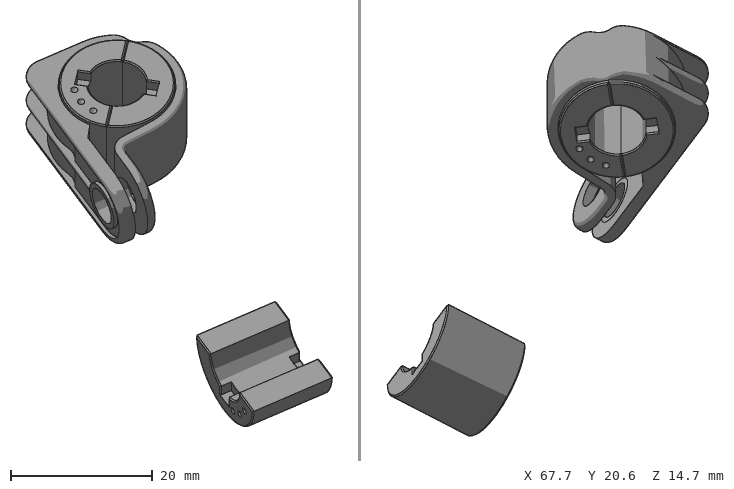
import cadquery as cq
import math


bushing_length = 13.0
bushing_radius = 8.15
cable_radius = 4.15
bushing_chamfer = 0.2
key_width = 2.35
key_reach = 5.85
key_depth = 1.8
key_flare = 0.2
dot_radius = 0.5
dot_circle_radius = 6.15
dot_step_angle = 22.5
dot_count = 3
bushing_turn = -40.0

clamp_width = 12.0
strap_thickness = 1.55
outer_radius = 9.85
bore_radius = outer_radius - strap_thickness
base_face_y = -10.4
block_corner_radius = 3.0
edge_round = 0.85
strap_lean = 5.0

hinge_angle = 135.0
hinge_thickness = 0.6
hinge_groove_radius = 2.4
hinge_blend_radius = 2.7

tab_radius = clamp_width / 2
tab_end_x = 20.0
tab_hole_x = tab_end_x - tab_radius
tab_hole_radius = 2.7
upper_tab_top_y = -4.8
upper_tab_bottom_y = upper_tab_top_y - strap_thickness
lower_tab_top_y = -8.35
bend_inner_radius = 1.0
bend_outer_radius = bend_inner_radius + strap_thickness
ramp_end_x = 6.4
ramp_start_x = 4.5

flange_thickness = 1.05
recess_floor_y = -9.82
recess_arc_end_x = 2.8
recess_hollow_radius = 3.0
rib_width = 1.22

ring_radius = 3.5

loose_x = 49.66
loose_y = -4.24

clearance = 5.0
corner_angle = 225.0
tolerance = 1e-4


def polar(radius, angle):
    """X and Y of a point at an angle in degrees."""
    return (radius * math.cos(math.radians(angle)), radius * math.sin(math.radians(angle)))


def upright_prism(sketch, height):
    """Extrude an XY outline symmetrically about Z = 0."""
    return sketch.extrude(height).translate((0, 0, -height / 2))


def cross_cylinder(radius, y_from, y_to):
    """Cylinder along Y on the tab hole axis."""
    return (
        cq.Workplane("XZ", origin=(tab_hole_x, y_from, 0))
        .circle(radius)
        .extrude(y_from - y_to)
    )


def tab_shape(radius):
    """Band along X with a round end about the tab hole."""
    span = tab_hole_x + outer_radius + clearance
    band = cq.Workplane("XY").box(span, 4 * outer_radius, 2 * radius)
    band = band.translate((tab_hole_x - span / 2, 0, 0))
    return band.union(cross_cylinder(radius, -2 * outer_radius, 2 * outer_radius))


def leg_bend(wall_radius, bend_radius):
    """Tangent points of the leaning strap leg and of its bend into the tab."""
    leg_top = polar(wall_radius, strap_lean)
    center_y = upper_tab_top_y + bend_inner_radius
    outer_offset = outer_radius + bend_inner_radius
    lean = math.radians(strap_lean)
    center_x = (outer_offset - center_y * math.sin(lean)) / math.cos(lean)
    back = polar(bend_radius, 180 + strap_lean)
    middle = polar(bend_radius, corner_angle + strap_lean / 2)
    bend_start = (center_x + back[0], center_y + back[1])
    bend_middle = (center_x + middle[0], center_y + middle[1])
    bend_end = (center_x, center_y - bend_radius)
    return leg_top, bend_start, bend_middle, bend_end


def clamp_outline(height):
    """Filled outer outline of the clamp, grooved at the hinge."""
    leg_top, bend_start, bend_middle, bend_end = leg_bend(outer_radius, bend_inner_radius)
    corner = (-outer_radius + block_corner_radius, base_face_y + block_corner_radius)
    corner_middle = polar(block_corner_radius, corner_angle)
    sketch = (
        cq.Workplane("XY")
        .moveTo(*leg_top)
        .lineTo(*bend_start)
        .threePointArc(bend_middle, bend_end)
        .lineTo(tab_end_x, upper_tab_top_y)
        .lineTo(tab_end_x, base_face_y)
        .lineTo(corner[0], base_face_y)
        .threePointArc(
            (corner[0] + corner_middle[0], corner[1] + corner_middle[1]),
            (-outer_radius, corner[1]),
        )
        .lineTo(-outer_radius, 0)
        .threePointArc(polar(outer_radius, 90 + strap_lean / 2), leg_top)
        .close()
    )
    body = upright_prism(sketch, height)

    groove_center = polar(bore_radius + hinge_thickness + hinge_groove_radius, hinge_angle)
    groove = upright_prism(
        cq.Workplane("XY").center(*groove_center).circle(hinge_groove_radius), height
    )
    body = body.cut(groove)
    lips = body.edges("|Z").filter(
        lambda edge: edge.Center().x < -tolerance and edge.Center().y > tolerance
    )
    return body.newObject(lips.vals()).fillet(hinge_blend_radius)


def clamp_cavity():
    """Bore for the bushing, opening into the slot between the tabs."""
    leg_top, bend_start, bend_middle, bend_end = leg_bend(bore_radius, bend_outer_radius)
    ramp_start = (ramp_start_x, -math.sqrt(bore_radius**2 - ramp_start_x**2))
    sketch = (
        cq.Workplane("XY")
        .moveTo(*leg_top)
        .lineTo(*bend_start)
        .threePointArc(bend_middle, bend_end)
        .lineTo(tab_end_x + clearance, upper_tab_bottom_y)
        .lineTo(tab_end_x + clearance, lower_tab_top_y)
        .lineTo(ramp_end_x, lower_tab_top_y)
        .lineTo(*ramp_start)
        .threePointArc((-bore_radius, 0), leg_top)
        .close()
    )
    return upright_prism(sketch, clamp_width + clearance)


def recess_region(height):
    """Space outside the round block wall and the recessed lower tab face."""
    wall_angle = -math.degrees(math.acos(recess_arc_end_x / outer_radius))
    wall_end = polar(outer_radius, wall_angle)
    wall_middle = polar(outer_radius, (wall_angle - 180) / 2)

    push = polar(recess_hollow_radius, wall_angle)
    hollow_center = (wall_end[0] + push[0], wall_end[1] + push[1])
    hollow_end_angle = math.degrees(math.asin((recess_floor_y - hollow_center[1]) / recess_hollow_radius))
    hollow_end = polar(recess_hollow_radius, hollow_end_angle)
    hollow_middle = polar(recess_hollow_radius, (180 + wall_angle + hollow_end_angle) / 2)

    sketch = (
        cq.Workplane("XY")
        .moveTo(-outer_radius, 0)
        .threePointArc(wall_middle, wall_end)
        .threePointArc(
            (hollow_center[0] + hollow_middle[0], hollow_center[1] + hollow_middle[1]),
            (hollow_center[0] + hollow_end[0], recess_floor_y),
        )
        .lineTo(tab_end_x, recess_floor_y)
        .lineTo(tab_end_x, base_face_y - clearance)
        .lineTo(-outer_radius - clearance, base_face_y - clearance)
        .lineTo(-outer_radius - clearance, 0)
        .close()
    )
    return upright_prism(sketch, height)


def is_rim(edge):
    """Edges round the two side faces and the tab ends, without seams."""
    middle = edge.Center()
    on_side = abs(abs(middle.z) - clamp_width / 2) < tolerance
    seam = edge.geomType() == "LINE" and abs(middle.x - tab_hole_x) < tolerance
    tab_end = edge.geomType() == "CIRCLE" and middle.x > tab_hole_x
    return (on_side and not seam) or tab_end


def rib_crest_path(rib_radius):
    """Centre line of the rounded rib crest, from the tab hole round the block corner."""
    corner_x = -outer_radius + block_corner_radius
    corner_y = base_face_y + block_corner_radius
    middle = polar(block_corner_radius - rib_radius, corner_angle)
    return (
        cq.Workplane("XY")
        .moveTo(tab_hole_x, base_face_y + rib_radius)
        .lineTo(corner_x, base_face_y + rib_radius)
        .threePointArc(
            (corner_x + middle[0], corner_y + middle[1]),
            (-outer_radius + rib_radius, corner_y),
        )
        .lineTo(-outer_radius + rib_radius, 0)
    )


def make_rib():
    """Rib with a fully rounded crest, filling the recess at mid width."""
    rib_radius = rib_width / 2
    bead = (
        cq.Workplane("YZ", origin=(tab_hole_x, base_face_y + rib_radius, 0))
        .circle(rib_radius)
        .sweep(rib_crest_path(rib_radius))
    )
    web = upright_prism(rib_crest_path(rib_radius).lineTo(tab_hole_x, 0).close(), rib_width)
    return web.union(bead).intersect(recess_region(clamp_width))


def make_clamp():
    """Clamp with hinge, strap, two tabs and the ribbed recess."""
    body = clamp_outline(clamp_width).intersect(tab_shape(tab_radius))
    body = body.newObject(body.edges().filter(is_rim).vals()).fillet(edge_round)

    web_width = clamp_width - 2 * flange_thickness
    recess = recess_region(web_width).intersect(tab_shape(tab_radius - flange_thickness))
    body = body.cut(recess)

    body = body.union(make_rib())

    ring_seat = cross_cylinder(ring_radius, base_face_y - clearance, lower_tab_top_y)
    tab_hole = cross_cylinder(tab_hole_radius, base_face_y - clearance, upper_tab_top_y + clearance)
    return body.cut(clamp_cavity()).cut(ring_seat).cut(tab_hole)


def make_ring():
    """Ring through the lower tab, flush with its outer face."""
    sleeve = cross_cylinder(ring_radius, base_face_y, lower_tab_top_y)
    return sleeve.cut(cross_cylinder(tab_hole_radius, base_face_y, lower_tab_top_y))


def make_bushing_half():
    """Half on the -Y side of the split, marking dots on its +Z end."""
    tube = upright_prism(cq.Workplane("XY").circle(bushing_radius).circle(cable_radius), bushing_length)
    keep = cq.Workplane("XY").box(2 * bushing_radius, bushing_radius, bushing_length)
    half = tube.intersect(keep.translate((0, -bushing_radius / 2, 0)))
    half = half.faces("|Z").edges().chamfer(bushing_chamfer)

    end_z = bushing_length / 2
    for side in (-1, 1):
        floor_z = side * (end_z - key_depth)
        flare_z = side * (end_z - key_flare)
        mouth_z = side * end_z
        pocket = (
            cq.Workplane("XZ")
            .polyline([
                (-key_width / 2, floor_z),
                (key_width / 2, floor_z),
                (key_width / 2, flare_z),
                (key_width / 2 + key_flare, mouth_z),
                (-key_width / 2 - key_flare, mouth_z),
                (-key_width / 2, flare_z),
            ])
            .close()
            .extrude(key_reach)
        )
        half = half.cut(pocket)

    for index in range(dot_count):
        x, y = polar(dot_circle_radius, -90 + (index + 1) * dot_step_angle)
        dot = cq.Solid.makeCone(0, dot_radius, dot_radius, pnt=cq.Vector(x, y, end_z - dot_radius))
        half = half.cut(cq.Workplane(obj=dot))
    return half


clamp = make_clamp()
ring = make_ring()

x_axis = ((0, 0, 0), (1, 0, 0))
z_axis = ((0, 0, 0), (0, 0, 1))
lower_half = make_bushing_half().rotate(*z_axis, bushing_turn)
upper_half = make_bushing_half().rotate(*x_axis, 180).rotate(*z_axis, bushing_turn)
loose_half = make_bushing_half().rotate(*x_axis, 90).translate((loose_x, loose_y, 0))

result = cq.Compound.makeCompound(
    [clamp.val(), ring.val(), lower_half.val(), upper_half.val(), loose_half.val()]
)